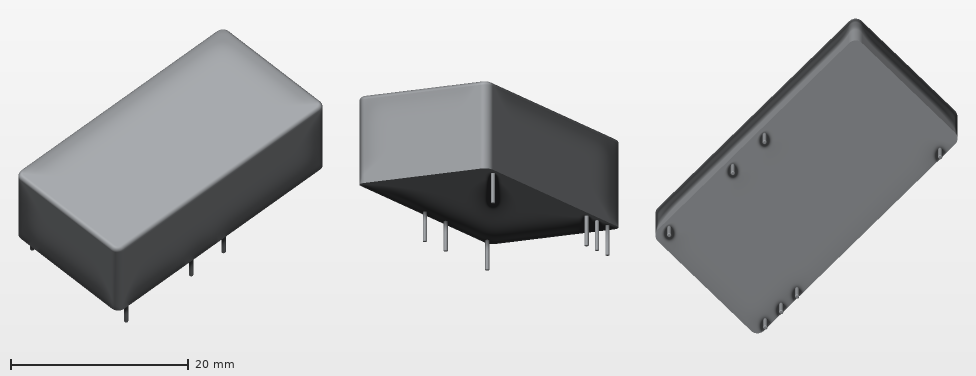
import cadquery as cq

case_width = 16.8
case_length = 32.6
total_height = 13.7
pin_length = 3.5
case_height = total_height - pin_length
corner_radius = 1.0
top_edge_radius = 0.5

pin_diameter = 0.5
pin_tip_fillet = 0.1
pin_pitch = 2.55
row_spacing = 6 * pin_pitch
first_pin_y = -14.28
left_row_slots = [0, 1, 2, 11]
right_row_slots = [0, 4, 6]


def make_case():
    """Rounded box standing on Z = 0, with a rounded top edge."""
    block = cq.Workplane("XY").box(case_width, case_length, case_height, centered=(True, True, False))
    return block.edges("|Z").fillet(corner_radius).faces(">Z").edges().fillet(top_edge_radius)


def make_pin_row(x, slots):
    """Pins with rounded tips, hanging below the case at the given grid slots."""
    places = [(x, first_pin_y + slot * pin_pitch) for slot in slots]
    pins = cq.Workplane("XY").pushPoints(places).circle(pin_diameter / 2).extrude(-pin_length)
    return pins.faces("<Z").edges().fillet(pin_tip_fillet)


left_row = make_pin_row(-row_spacing / 2, left_row_slots)
right_row = make_pin_row(row_spacing / 2, right_row_slots)
result = make_case().union(left_row).union(right_row)